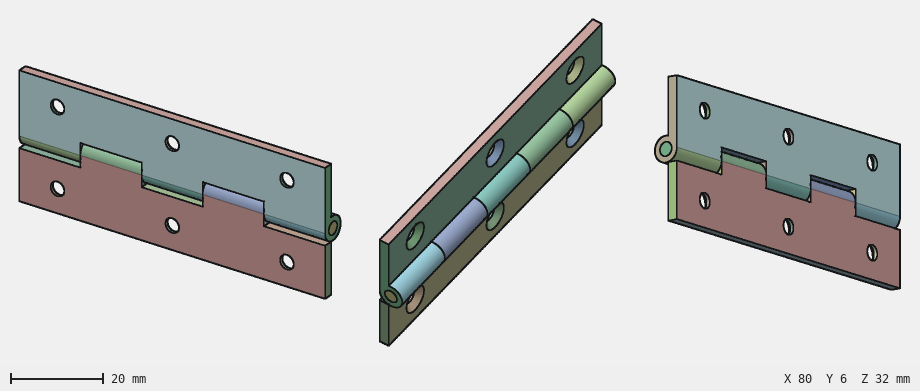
import cadquery as cq

length = 80.0
height = 32.0
barrel_diameter = 6.0
leaf_thickness = 2.4
pin_diameter = 3.2
knuckle_count = 5

hole_diameter = 3.5
countersink_diameter = 6.6
countersink_angle = 90.0
hole_spacing = 30.0
hole_height = 10.0
holes_per_leaf = 3

barrel_radius = barrel_diameter / 2
leaf_front = -barrel_radius
leaf_back = leaf_front + leaf_thickness
leaf_height = height / 2
knuckle_length = length / knuckle_count


def knuckle_start(index):
    return -length / 2 + index * knuckle_length


def x_cylinder(diameter, start, span):
    """Cylinder on the pin axis."""
    return cq.Workplane("YZ", origin=(start, 0, 0)).circle(diameter / 2).extrude(span)


def leaf_block(start, span, bottom, top):
    """Block as thick as a leaf, with its front face tangent to the barrel."""
    return cq.Workplane("XY").box(span, leaf_thickness, top - bottom, centered=False).translate(
        (start, leaf_front, bottom)
    )


def drill_screw_holes(leaf, side):
    """Row of through holes in the leaf, countersunk from its back face."""
    return leaf.copyWorkplane(
        cq.Workplane(cq.Plane(origin=(0, leaf_back, side * hole_height), xDir=(1, 0, 0), normal=(0, 1, 0)))
    ).rarray(hole_spacing, 0.8, holes_per_leaf, 1).cskHole(
        hole_diameter, countersink_diameter, countersink_angle, depth=leaf_thickness
    )


def make_leaf(side, first_knuckle):
    """Leaf above (side = 1) or below (side = -1) the pin, with every second knuckle."""
    outer_edge = side * leaf_height
    inner_edge = side * barrel_radius
    leaf = leaf_block(-length / 2, length, min(inner_edge, outer_edge), max(inner_edge, outer_edge))
    for index in range(first_knuckle, knuckle_count, 2):
        start = knuckle_start(index)
        web = leaf_block(start, knuckle_length, min(0, inner_edge), max(0, inner_edge))
        leaf = leaf.union(web).union(x_cylinder(barrel_diameter, start, knuckle_length))
    pin_bore = x_cylinder(pin_diameter, -length / 2, length)
    return drill_screw_holes(leaf.cut(pin_bore), side)


upper_leaf = make_leaf(side=1, first_knuckle=0)
lower_leaf = make_leaf(side=-1, first_knuckle=1)
pin = x_cylinder(pin_diameter, -length / 2, length)

result = cq.Compound.makeCompound([upper_leaf.solids().val(), lower_leaf.solids().val(), pin.val()])